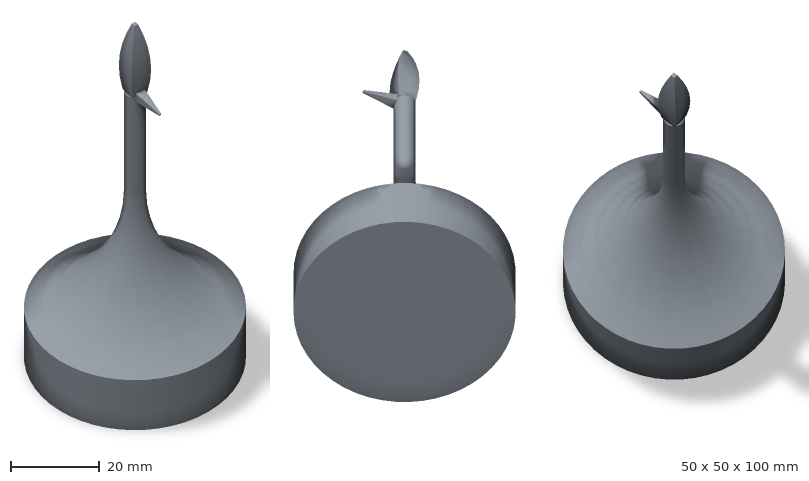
import cadquery as cq
import math

base_radius = 25.0
base_height = 15.0

shaft_radius = 2.5
flare_top = 50.0
shaft_top = 80.0

total_height = 100.0
blade_height = total_height - shaft_top
blade_foot_side = 4.0
blade_middle_side = 5.0
blade_tip_side = 1.0

barb_tip_x = 10.0
barb_root_x = 2.0
barb_root_side = 2.5
barb_tip_side = 0.5


def make_stand():
    """Revolve the base, flare and shaft as one profile."""
    radial_run = base_radius - shaft_radius
    flare_height = flare_top - base_height
    flare_radius = (radial_run**2 + flare_height**2) / (2 * radial_run)
    half_sweep = math.asin(flare_height / flare_radius) / 2
    arc_middle = (
        shaft_radius + flare_radius * (1 - math.cos(half_sweep)),
        flare_top - flare_radius * math.sin(half_sweep),
    )
    return (
        cq.Workplane("XZ")
        .lineTo(base_radius, 0)
        .lineTo(base_radius, base_height)
        .threePointArc(arc_middle, (shaft_radius, flare_top))
        .lineTo(shaft_radius, shaft_top)
        .lineTo(0, shaft_top)
        .close()
        .revolve(360, (0, 0), (0, 1))
    )


def make_blade():
    """Loft smoothly through three squares, giving a leaf-shaped outline."""
    return (
        cq.Workplane("XY", origin=(0, 0, shaft_top))
        .rect(blade_foot_side, blade_foot_side)
        .workplane(offset=blade_height / 2)
        .rect(blade_middle_side, blade_middle_side)
        .workplane(offset=blade_height / 2)
        .rect(blade_tip_side, blade_tip_side)
        .loft(combine=True)
    )


def make_barb():
    """Taper a square bar from inside the shaft out to its tip."""
    return (
        cq.Workplane("YZ", origin=(barb_root_x, 0, shaft_top))
        .rect(barb_root_side, barb_root_side)
        .workplane(offset=barb_tip_x - barb_root_x)
        .rect(barb_tip_side, barb_tip_side)
        .loft(ruled=True)
    )


result = make_stand().union(make_blade()).union(make_barb())